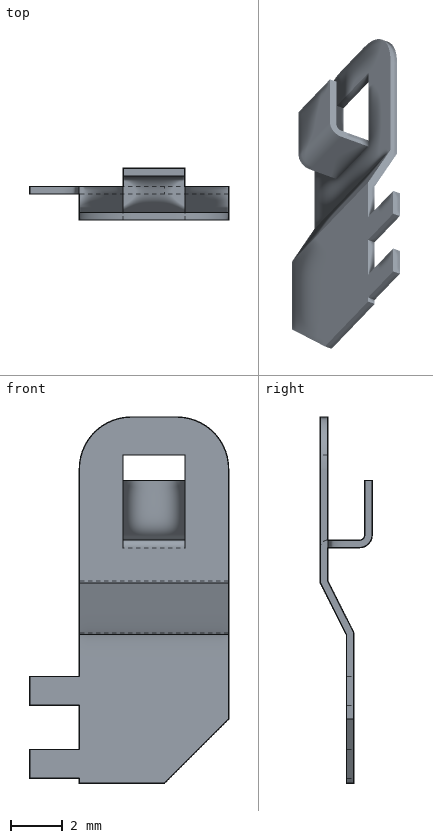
import cadquery as cq

height = 14.1
depth = 2.0
thickness = 0.3

plate_width = 5.75
half_width = plate_width / 2
corner_radius = 2.0
chamfer = 2.48
step_offset = 1.0
step_bottom = 5.72
step_top = 7.71
back_bend_shift = 0.07

tab_length = 1.9
tab_height = 1.11
tab_bottoms = (0.2, 3.0)

window_width = 2.38
window_bottom = 9.07
window_top = 12.63
hook_top = 11.66
bend_inner_radius = 0.2
bend_outer_radius = bend_inner_radius + thickness


def make_stepped_plate():
    """Bent strip, extruded across its width and trimmed at its corners."""
    lower_back = step_offset + thickness
    strip = (
        cq.Workplane("YZ")
        .polyline([
            (step_offset, 0),
            (step_offset, step_bottom),
            (0, step_top),
            (0, height),
            (thickness, height),
            (thickness, step_top + back_bend_shift),
            (lower_back, step_bottom + back_bend_shift),
            (lower_back, 0),
        ])
        .close()
        .extrude(half_width, both=True)
    )
    strip = strip.edges("|Y and >Z").edges("<X or >X").fillet(corner_radius)
    return strip.edges("|Y and <Z").edges(">X").chamfer(chamfer)


def make_tab(bottom):
    """Flat tab in line with the lower section of the plate."""
    return (
        cq.Workplane("XY")
        .box(tab_length, thickness, tab_height, centered=False)
        .translate((-half_width - tab_length, step_offset, bottom))
    )


def make_window():
    return (
        cq.Workplane("XY")
        .box(window_width, thickness, window_top - window_bottom, centered=(True, False, False))
        .translate((0, 0, window_bottom))
    )


def make_hook():
    """L-shaped strip leaving the window's lower edge, rounded where it meets the front face."""
    floor = window_bottom + thickness
    hook = (
        cq.Workplane("YZ")
        .moveTo(0, window_bottom)
        .lineTo(depth - bend_outer_radius, window_bottom)
        .radiusArc((depth, window_bottom + bend_outer_radius), -bend_outer_radius)
        .lineTo(depth, hook_top)
        .lineTo(depth - thickness, hook_top)
        .lineTo(depth - thickness, floor + bend_inner_radius)
        .radiusArc((depth - bend_outer_radius, floor), bend_inner_radius)
        .lineTo(thickness, floor)
        .radiusArc((0, window_bottom), -thickness)
        .close()
    )
    return hook.extrude(window_width / 2, both=True)


result = make_stepped_plate().cut(make_window()).union(make_hook())
for tab_bottom in tab_bottoms:
    result = result.union(make_tab(tab_bottom))

result = result.translate((tab_length / 2, 0, 0))